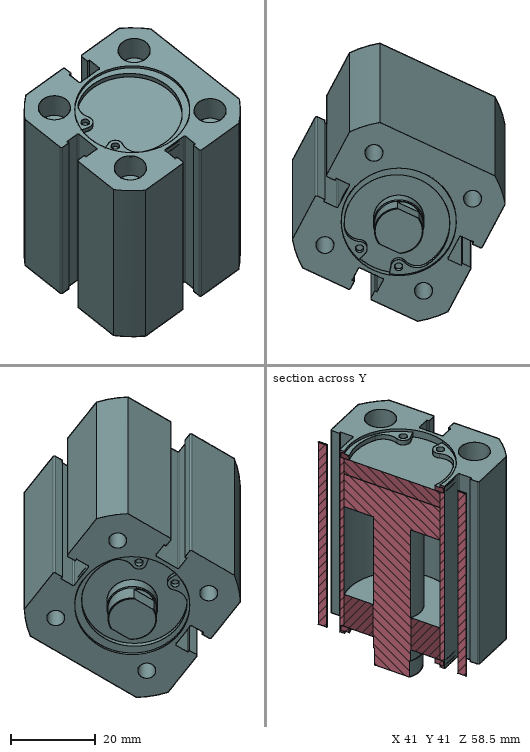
import cadquery as cq
import math


OVERALL_LENGTH = 58.5

HOUSING_WIDTH = 41.0
HOUSING_HEIGHT = 52.5
CORNER_RADIUS = 25.5
BORE_RADIUS = 13.6

SLOT_FLOOR = 14.5
SLOT_HALF_WIDTH = 3.3
MOUTH_HALF_WIDTH = 2.7
LIP_DEPTH = 2.4
MOUTH_ROUNDING = 0.4
FLOOR_ROUNDING = 0.3
SLOT_ANGLES = (0, 180, 270)

HOLE_SPACING = 26.0
HOLE_DIAMETER = 4.2
COUNTERBORE_DIAMETER = 7.55
COUNTERBORE_DEPTH = 7.0

RING_WALL = 0.1
RING_OUTER_RADIUS = SLOT_FLOOR - RING_WALL
RING_THICKNESS = 1.3
RING_SETBACK = 0.7
RING_INNER_RADIUS = 12.45
RING_INNER_SHIFT = 0.95
LUG_X = 5.15
LUG_Y = -10.4
LUG_RADIUS = 1.8
LUG_BLEND_RADIUS = 4.0
LUG_HOLE_DIAMETER = 1.95

REAR_COVER_THICKNESS = 4.7
FRONT_COVER_THICKNESS = 9.35
PISTON_LENGTH = 9.35

ROD_DIAMETER = 12.0
ROD_RADIUS = ROD_DIAMETER / 2
ROD_PROJECTION = OVERALL_LENGTH - HOUSING_HEIGHT
SHOULDER_PROJECTION = 1.1
SHOULDER_CHAMFER_HEIGHT = 0.2
ROD_END_RADIUS = 5.75
ROD_END_CHAMFER = 0.2
FLAT_HALF_WIDTH = 5.0
FLAT_TOP = -1.95
FLAT_RUNOUT_HEIGHT = 0.6

front_ring_bottom = RING_SETBACK
front_cover_bottom = front_ring_bottom + RING_THICKNESS
rear_ring_bottom = HOUSING_HEIGHT - RING_SETBACK - RING_THICKNESS
rear_cover_bottom = rear_ring_bottom - REAR_COVER_THICKNESS


def cylinder(radius, bottom, height):
    return cq.Workplane("XY").workplane(offset=bottom).circle(radius).extrude(height)


def make_slot():
    """T-shaped slot cutter running the full height of the +X side."""
    side = HOUSING_WIDTH / 2
    lip = side - LIP_DEPTH
    undercut = (
        cq.Workplane("XY")
        .box(lip - SLOT_FLOOR, 2 * SLOT_HALF_WIDTH, HOUSING_HEIGHT, centered=(False, True, False))
        .edges("|Z and <X")
        .fillet(FLOOR_ROUNDING)
        .translate((SLOT_FLOOR, 0, 0))
    )
    flare = MOUTH_HALF_WIDTH + MOUTH_ROUNDING
    edge_offset = MOUTH_ROUNDING * (1 - math.sqrt(0.5))
    mouth = (
        cq.Workplane("XY")
        .moveTo(lip, -MOUTH_HALF_WIDTH)
        .lineTo(side - MOUTH_ROUNDING, -MOUTH_HALF_WIDTH)
        .threePointArc((side - edge_offset, -MOUTH_HALF_WIDTH - edge_offset), (side, -flare))
        .lineTo(side, flare)
        .threePointArc((side - edge_offset, MOUTH_HALF_WIDTH + edge_offset),
                       (side - MOUTH_ROUNDING, MOUTH_HALF_WIDTH))
        .lineTo(lip, MOUTH_HALF_WIDTH)
        .close()
        .extrude(HOUSING_HEIGHT)
    )
    return undercut.union(mouth)


def point_towards(start, target, distance):
    """Point at the given distance from start, in the direction of target."""
    angle = math.atan2(target[1] - start[1], target[0] - start[0])
    return start[0] + distance * math.cos(angle), start[1] + distance * math.sin(angle)


def mirrored(point):
    """The matching point on the other side of the YZ plane."""
    return -point[0], point[1]


def make_ring(bottom):
    """Internal retaining ring with an eccentric opening and two lugs beside its gap at -Y."""
    opening_centre = (0, -RING_INNER_SHIFT)
    lug_centre = (LUG_X, LUG_Y)

    lug_distance = math.dist(opening_centre, lug_centre)
    blend_distance = RING_INNER_RADIUS - LUG_BLEND_RADIUS
    blend_to_lug = LUG_BLEND_RADIUS + LUG_RADIUS
    lug_angle = math.atan2(LUG_Y + RING_INNER_SHIFT, LUG_X)
    squares = blend_distance**2 + lug_distance**2 - blend_to_lug**2
    blend_angle = lug_angle + math.acos(squares / (2 * blend_distance * lug_distance))
    blend_centre = (
        blend_distance * math.cos(blend_angle),
        blend_distance * math.sin(blend_angle) - RING_INNER_SHIFT,
    )
    opening_end = point_towards(opening_centre, blend_centre, RING_INNER_RADIUS)
    lug_start = point_towards(lug_centre, blend_centre, LUG_RADIUS)
    blend_target = ((opening_end[0] + lug_start[0]) / 2, (opening_end[1] + lug_start[1]) / 2)
    blend_middle = point_towards(blend_centre, blend_target, LUG_BLEND_RADIUS)

    lug_reach = math.hypot(LUG_X, LUG_Y)
    gap_angle = math.atan2(LUG_Y, LUG_X) - math.asin(LUG_RADIUS / lug_reach)
    tangent_length = math.sqrt(lug_reach**2 - LUG_RADIUS**2)
    lug_end = (tangent_length * math.cos(gap_angle), tangent_length * math.sin(gap_angle))
    lug_middle = point_towards(lug_centre, (0, 0), LUG_RADIUS)
    gap_corner = (RING_OUTER_RADIUS * math.cos(gap_angle), RING_OUTER_RADIUS * math.sin(gap_angle))

    ring = (
        cq.Workplane("XY")
        .moveTo(*mirrored(opening_end))
        .threePointArc((0, RING_INNER_RADIUS - RING_INNER_SHIFT), opening_end)
        .threePointArc(blend_middle, lug_start)
        .threePointArc(lug_middle, lug_end)
        .lineTo(*gap_corner)
        .threePointArc((0, RING_OUTER_RADIUS), mirrored(gap_corner))
        .lineTo(*mirrored(lug_end))
        .threePointArc(mirrored(lug_middle), mirrored(lug_start))
        .threePointArc(mirrored(blend_middle), mirrored(opening_end))
        .close()
        .extrude(RING_THICKNESS)
    )
    lug_holes = (
        cq.Workplane("XY")
        .pushPoints([(-LUG_X, LUG_Y), (LUG_X, LUG_Y)])
        .circle(LUG_HOLE_DIAMETER / 2)
        .extrude(RING_THICKNESS)
    )
    return ring.cut(lug_holes).translate((0, 0, bottom))


def make_housing(rings):
    housing = cq.Workplane("XY").rect(HOUSING_WIDTH, HOUSING_WIDTH).extrude(HOUSING_HEIGHT)
    housing = housing.intersect(cylinder(CORNER_RADIUS, 0, HOUSING_HEIGHT))
    housing = housing.cut(cylinder(BORE_RADIUS, 0, HOUSING_HEIGHT))
    slot = make_slot()
    for angle in SLOT_ANGLES:
        housing = housing.cut(slot.rotate((0, 0, 0), (0, 0, 1), angle))
    housing = (
        housing.faces(">Z").workplane(origin=(0, 0, HOUSING_HEIGHT))
        .rect(HOLE_SPACING, HOLE_SPACING, forConstruction=True)
        .vertices()
        .cboreHole(HOLE_DIAMETER, COUNTERBORE_DIAMETER, COUNTERBORE_DEPTH)
    )
    for ring in rings:
        housing = housing.cut(ring)
    return housing


def make_rear_cover():
    return cylinder(BORE_RADIUS, rear_cover_bottom, REAR_COVER_THICKNESS)


def make_front_cover():
    cover = cylinder(BORE_RADIUS, front_cover_bottom, FRONT_COVER_THICKNESS)
    return cover.cut(cylinder(ROD_RADIUS, front_cover_bottom, FRONT_COVER_THICKNESS))


def make_piston_rod():
    """Piston against the rear cover, with its rod leaving through the front cover."""
    piston_bottom = rear_cover_bottom - PISTON_LENGTH
    shoulder = -SHOULDER_PROJECTION
    rod = (
        cq.Workplane("XZ")
        .moveTo(0, -ROD_PROJECTION)
        .lineTo(ROD_END_RADIUS - ROD_END_CHAMFER, -ROD_PROJECTION)
        .lineTo(ROD_END_RADIUS, -ROD_PROJECTION + ROD_END_CHAMFER)
        .lineTo(ROD_END_RADIUS, shoulder - SHOULDER_CHAMFER_HEIGHT)
        .lineTo(ROD_RADIUS, shoulder)
        .lineTo(ROD_RADIUS, piston_bottom)
        .lineTo(BORE_RADIUS, piston_bottom)
        .lineTo(BORE_RADIUS, rear_cover_bottom)
        .lineTo(0, rear_cover_bottom)
        .close()
        .revolve(360, (0, 0), (0, 1))
    )
    flat = (
        cq.Workplane("YZ")
        .moveTo(FLAT_HALF_WIDTH, -ROD_PROJECTION)
        .lineTo(FLAT_HALF_WIDTH, FLAT_TOP)
        .lineTo(ROD_RADIUS, FLAT_TOP + FLAT_RUNOUT_HEIGHT)
        .lineTo(ROD_RADIUS, -ROD_PROJECTION)
        .close()
        .extrude(ROD_RADIUS, both=True)
    )
    return rod.cut(flat).cut(flat.mirror("XZ"))


rings = [make_ring(bottom) for bottom in (front_ring_bottom, rear_ring_bottom)]
housing = make_housing(rings)
rear_cover = make_rear_cover()
front_cover = make_front_cover()
piston_rod = make_piston_rod()

bodies = [housing, rear_cover, front_cover, piston_rod, *rings]

result = cq.Compound.makeCompound([body.solids().val() for body in bodies])